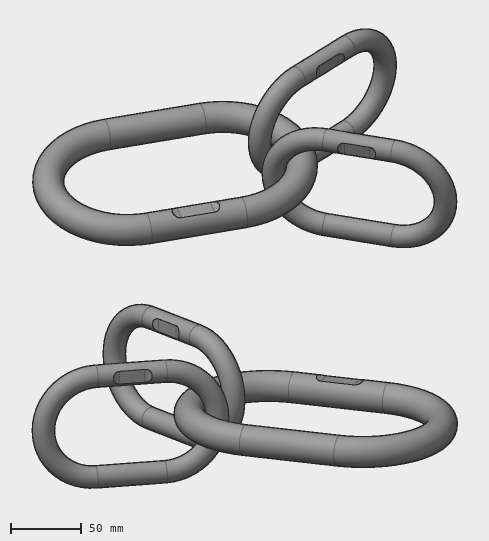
import cadquery as cq
import math


MASTER_BAR = 22.0
MASTER_INNER_WIDTH = 90.0
MASTER_STRAIGHT = 70.0
MASTER_RECESS_DEPTH = 1.7
MASTER_RECESS_LENGTH = 34.5

SLING_BAR = 16.0
SLING_INNER_WIDTH = 60.0
SLING_STRAIGHT = 50.0
SLING_RECESS_DEPTH = 1.6
SLING_RECESS_LENGTH = 28.0
SLING_SPLAY = 30.0

RECESS_END_RADIUS = 8.0


def bend_radius(inner_width, bar):
    """Radius of the bar's centre line in a link's end bends."""
    return (inner_width + bar) / 2


def make_link(bar, inner_width, straight):
    """Round bar bent to an oblong in the XY plane, long axis along Y, centred at the origin."""
    radius = bend_radius(inner_width, bar)
    half = straight / 2
    path = (
        cq.Workplane("XY")
        .moveTo(radius, -half)
        .lineTo(radius, half)
        .threePointArc((0, half + radius), (-radius, half))
        .lineTo(-radius, -half)
        .threePointArc((0, -half - radius), (radius, -half))
        .close()
    )
    section = cq.Workplane("XZ", origin=(radius, -half, 0)).circle(bar / 2)
    return section.sweep(path)


def make_recess(bar, bar_x, depth, length):
    """Cutter for a flat-floored recess on the +Z side of the straight bar at bar_x."""
    top = bar / 2
    floor = top - depth
    run_out = math.sqrt(RECESS_END_RADIUS**2 - (RECESS_END_RADIUS - depth) ** 2)
    half = length / 2
    half_floor = half - run_out
    return (
        cq.Workplane("YZ", origin=(bar_x, 0, 0))
        .moveTo(-half_floor, floor)
        .lineTo(half_floor, floor)
        .radiusArc((half, top), -RECESS_END_RADIUS)
        .lineTo(-half, top)
        .radiusArc((-half_floor, floor), -RECESS_END_RADIUS)
        .close()
        .extrude(bar / 2, both=True)
    )


def make_master_link():
    """Master link with one identification recess on top of its +X bar."""
    bar_x = bend_radius(MASTER_INNER_WIDTH, MASTER_BAR)
    link = make_link(MASTER_BAR, MASTER_INNER_WIDTH, MASTER_STRAIGHT)
    return link.cut(make_recess(MASTER_BAR, bar_x, MASTER_RECESS_DEPTH, MASTER_RECESS_LENGTH))


def make_sling_link(side):
    """Upright link hooked on the master's upper bend; side is -1 for -X and +1 for +X.

    Its top bar is recessed on both faces.
    """
    radius = bend_radius(SLING_INNER_WIDTH, SLING_BAR)
    link = make_link(SLING_BAR, SLING_INNER_WIDTH, SLING_STRAIGHT)
    recess = make_recess(SLING_BAR, radius, SLING_RECESS_DEPTH, SLING_RECESS_LENGTH)
    link = link.cut(recess).cut(recess.mirror("XY"))

    link = link.rotate((0, 0, 0), (0, 1, 0), -90)

    bearing = MASTER_INNER_WIDTH / 2
    distance = bearing - SLING_BAR / 2 + radius + SLING_STRAIGHT / 2
    link = link.translate((0, distance, 0))

    link = link.rotate((0, 0, 0), (0, 0, 1), -side * SLING_SPLAY)
    return link.translate((0, MASTER_STRAIGHT / 2, 0))


master_link = make_master_link()
sling_links = [make_sling_link(side) for side in (-1, 1)]

result = cq.Compound.makeCompound([master_link.val(), *[link.val() for link in sling_links]])